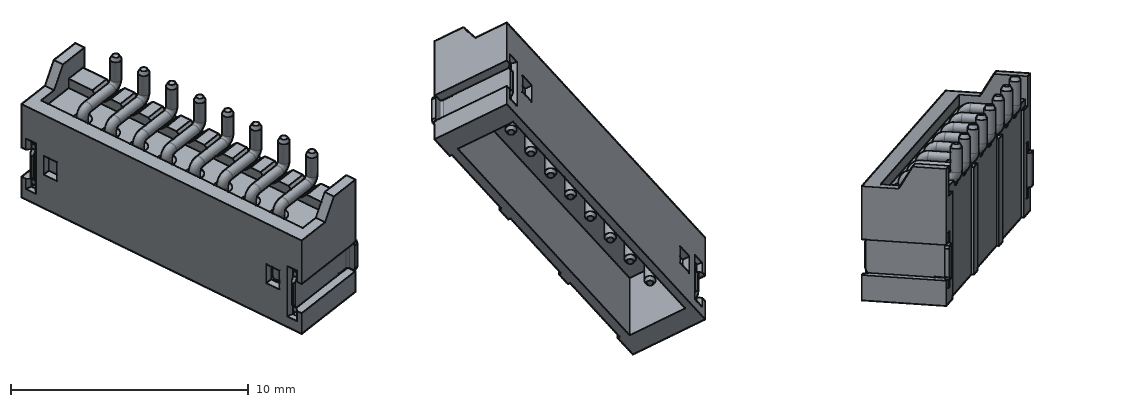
import cadquery as cq
import math

length = 15.0
half_length = length / 2
overall_depth = 3.8
body_depth = 3.66
back_face = 3.55
body_height = 5.0
ear_height = 6.0
ear_slope_top = 2.19
ear_slope_foot = 1.59
end_wall = 0.5
front_wall = 0.7
recess_floor = 4.5
ledge_front = 2.58
ledge_height = body_height

cavity_half_length = 6.5
cavity_front = 0.35
cavity_back = 3.15
cavity_height = 3.5

window_center_x = 5.95
window_width = 0.7
window_bottom = 1.8
window_height = 1.0
end_pad_length = 1.17
middle_pad_length = 0.69

pin_count = 8
pin_pitch = 1.5
pin_diameter = 0.5
pin_radius = pin_diameter / 2
pin_tip_radius = 0.15
pin_tip_length = 0.18
pin_top = 6.5
pin_bottom = 1.0
pin_front_y = 1.29
pin_back_y = overall_depth - pin_radius
pin_run_height = 4.94
pin_bend_radius = 0.35
countersink_radius = 0.4
groove_width = 0.98
groove_depth = 0.3
groove_bottom = ledge_height - groove_depth

plate_outer_x = 7.1
plate_thickness = 0.2
plate_bottom = 0.68
plate_top = 3.1
plate_front = 0.2
plate_corner = 0.14
plate_back = 3.05
tongue_bottom = 1.32
tongue_top = 2.45
tongue_shoulder = 0.25
tongue_tip_y = 0.03
tongue_edge = 0.06
tab_bottom = 1.14
tab_top = 2.64
tab_corner_height = 0.14
tab_corner_depth = 0.05
tab_bend_radius = 0.1
channel_bottom = 1.11
channel_top = 2.67
slot_outer_x = 7.26
slot_inner_x = 6.72
slot_bottom = 0.57
slot_top = 3.25
slot_funnel_depth = 0.16

pin_positions = [(i - (pin_count - 1) / 2) * pin_pitch for i in range(pin_count)]
padded_pins = (pin_positions[2], pin_positions[-3])


def block(x0, x1, y0, y1, z0, z1):
    """Box between two opposite corners."""
    return cq.Workplane("XY").box(x1 - x0, y1 - y0, z1 - z0, centered=False).translate((x0, y0, z0))


def mirrored(shape):
    """The shape together with its mirror image at the other end."""
    return shape.union(shape.mirror("YZ"))


def make_body():
    """Stepped end profile, opened at the top above the pin floor and the back ledge."""
    profile = [
        (0, 0),
        (body_depth, 0),
        (body_depth, ear_height),
        (ear_slope_top, ear_height),
        (ear_slope_foot, body_height),
        (0, body_height),
    ]
    body = cq.Workplane("YZ").polyline(profile).close().extrude(half_length, both=True)
    inner = half_length - end_wall
    body = body.cut(block(-inner, inner, front_wall, ledge_front, recess_floor, ear_height))
    body = body.cut(block(-inner, inner, ledge_front, body_depth, ledge_height, ear_height))
    return body.cut(block(-inner, inner, back_face, body_depth, 0, ledge_height))


def make_pads():
    """Raised pads on the back face, at both ends and behind two of the pins."""
    outer = half_length - end_wall
    inner = half_length - end_pad_length
    pads = mirrored(block(inner, outer, back_face, body_depth, 0, groove_bottom))
    half = middle_pad_length / 2
    for x in padded_pins:
        pads = pads.union(block(x - half, x + half, back_face, body_depth, 0, groove_bottom))
    return pads


def make_cavity():
    return block(-cavity_half_length, cavity_half_length, cavity_front, cavity_back, 0, cavity_height)


def make_windows():
    half = window_width / 2
    window = block(window_center_x - half, window_center_x + half,
                   0, cavity_front, window_bottom, window_bottom + window_height)
    return mirrored(window)


def make_pin_relief(x):
    """Sloped groove through the back ledge and countersink around the pin hole."""
    top_half = groove_width / 2
    bottom_half = top_half - groove_depth
    groove = (
        cq.Workplane("XZ", origin=(x, ledge_front, 0))
        .polyline([(-top_half, ledge_height), (top_half, ledge_height),
                   (bottom_half, groove_bottom), (-bottom_half, groove_bottom)])
        .close()
        .extrude(ledge_front - body_depth)
    )
    depth = countersink_radius - pin_radius
    countersink = cq.Solid.makeCone(pin_radius, countersink_radius, depth,
                                    pnt=cq.Vector(x, pin_front_y, recess_floor - depth))
    return groove.add(countersink).combine()


def make_pin(x):
    """Round wire bent up, back and up again, with tapered ends."""
    offset = pin_bend_radius * (1 - math.cos(math.pi / 4))
    lower_end = pin_run_height - pin_bend_radius
    upper_start = pin_run_height + pin_bend_radius
    path = (
        cq.Workplane("YZ", origin=(x, 0, 0))
        .moveTo(pin_front_y, pin_bottom)
        .lineTo(pin_front_y, lower_end)
        .threePointArc((pin_front_y + offset, pin_run_height - offset),
                       (pin_front_y + pin_bend_radius, pin_run_height))
        .lineTo(pin_back_y - pin_bend_radius, pin_run_height)
        .threePointArc((pin_back_y - offset, pin_run_height + offset), (pin_back_y, upper_start))
        .lineTo(pin_back_y, pin_top)
    )
    pin = cq.Workplane("XY", origin=(x, pin_front_y, pin_bottom)).circle(pin_radius).sweep(path)
    return pin.faces(">Z or <Z").chamfer(pin_tip_length, pin_radius - pin_tip_radius)


def make_clip_cavity():
    """Side channel, clip slit and the funnel leading into the slit from the front."""
    inner_x = plate_outer_x - plate_thickness
    channel = block(plate_outer_x, half_length, 0, body_depth, channel_bottom, channel_top)
    slit = block(inner_x, plate_outer_x, 0, body_depth, plate_bottom, plate_top)
    mouth_center = ((slot_inner_x + slot_outer_x) / 2, (slot_bottom + slot_top) / 2)
    slit_center = ((inner_x + plate_outer_x) / 2, (plate_bottom + plate_top) / 2)
    funnel = (
        cq.Workplane("XZ")
        .center(*mouth_center)
        .rect(slot_outer_x - slot_inner_x, slot_top - slot_bottom)
        .workplane(offset=-slot_funnel_depth)
        .center(slit_center[0] - mouth_center[0], slit_center[1] - mouth_center[1])
        .rect(plate_thickness, plate_top - plate_bottom)
        .loft(ruled=True)
    )
    return channel.union(slit).union(funnel)


def make_clip():
    """Flat plate with a tongue at the front and a tab bent outward at the back."""
    inner_x = plate_outer_x - plate_thickness
    plate = block(inner_x, plate_outer_x, plate_front, plate_back, plate_bottom, plate_top)
    plate = plate.faces("<Y").edges("|X").chamfer(plate_corner)
    tongue = (
        cq.Workplane("YZ", origin=(inner_x, 0, 0))
        .polyline([(plate_front, tongue_bottom - tongue_shoulder), (tongue_tip_y, tongue_bottom),
                   (tongue_tip_y, tongue_top), (plate_front, tongue_top + tongue_shoulder)])
        .close()
        .extrude(plate_thickness)
        .faces("<Y").edges("|Z").chamfer(tongue_edge)
    )
    bend_start = overall_depth - plate_thickness - tab_bend_radius
    tab = (
        cq.Workplane("XY", origin=(0, 0, tab_bottom))
        .moveTo(inner_x, plate_back)
        .lineTo(inner_x, bend_start)
        .radiusArc((plate_outer_x + tab_bend_radius, overall_depth), tab_bend_radius + plate_thickness)
        .lineTo(half_length, overall_depth)
        .lineTo(half_length, overall_depth - plate_thickness)
        .lineTo(plate_outer_x + tab_bend_radius, overall_depth - plate_thickness)
        .radiusArc((plate_outer_x, bend_start), -tab_bend_radius)
        .lineTo(plate_outer_x, plate_back)
        .close()
        .extrude(tab_top - tab_bottom)
        .faces(">X").edges("|Y").chamfer(tab_corner_height, tab_corner_depth)
    )
    return plate.union(tongue).union(tab)


result = make_body().union(make_pads())
result = result.cut(make_cavity()).cut(make_windows()).cut(mirrored(make_clip_cavity()))
for pin_x in pin_positions:
    result = result.cut(make_pin_relief(pin_x)).union(make_pin(pin_x))
result = result.union(mirrored(make_clip()))